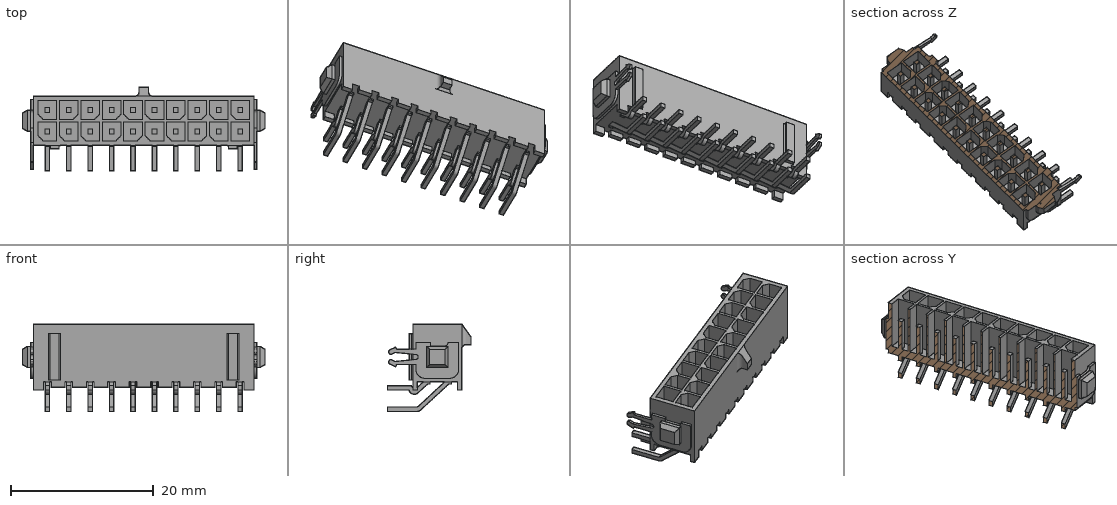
import cadquery as cq

OVERALL_LENGTH = 34.0
OVERALL_HEIGHT = 12.25

HOUSING_LENGTH = 30.9
HOUSING_DEPTH = 6.87
HOUSING_HEIGHT = 9.25
WALL_HEIGHT = 8.85
UNDERSIDE = 8.1
SKIRT_THICKNESS = 0.65
SLOT_WIDTH = 1.02

COLUMNS = 10
COLUMN_SPAN = 27.0
PITCH = COLUMN_SPAN / (COLUMNS - 1)
FRONT_ROW_Y = HOUSING_DEPTH / 2 - PITCH / 2
REAR_ROW_Y = HOUSING_DEPTH / 2 + PITCH / 2
CAVITY_SIZE = 2.62
CAVITY_CHAMFER = 0.7
CAVITY_DEPTH = 6.8
FRONT_ROW_KEYS = "LLLRRLLRL-"
REAR_ROW_KEYS = "LRRRLLRRLL"

PIN_SIZE = 0.65
PIN_RECESS = 2.38
PIN_REACH = 3.57
SHOULDER_WIDTH = 1.0
SHOULDER_DROP = 0.3
FRONT_TAIL_TOP = 8.6
REAR_TAIL_TOP = OVERALL_HEIGHT - PIN_SIZE

PEG_BASE = 3.0
PEG_TIP = 2.15
PEG_TAPER_LENGTH = 0.7
PEG_DEPTH = 4.6

CLIP_THICKNESS = 0.37
CLIP_FRONT_Y = 0.4
CLIP_REAR_Y = 6.43
CLIP_TOP = 2.55
CLIP_BOTTOM = 7.58
CLIP_CORNER_RADIUS = 1.3
NOTCH_FRONT_Y = 2.45
NOTCH_REAR_Y = 4.93
NOTCH_FLOOR = 3.05
NOTCH_RADIUS = NOTCH_FLOOR - CLIP_TOP
PRONG_ROOT = 1.1
PRONG_REACH = 3.4
SPLIT_HALF_WIDTH = 0.35

RIB_CENTRE_X = 12.48
RIB_BASE_WIDTH = 1.65
RIB_WIDTH = 1.25
RIB_TAPER = 0.17
RIB_PROJECTION = 0.5
RIB_TOP = 1.33
RIB_BOTTOM = 7.82

LATCH_WIDTH = 1.35
LATCH_PROJECTION = 1.3
LATCH_FLARE_RADIUS = 0.6
LATCH_RAMP_HEIGHT = 1.8
LATCH_BOTTOM = 2.9
LATCH_HEEL = 0.35


def box(x_limits, y_limits, z_limits):
    """Box between two limits, low then high, along each axis."""
    lows, highs = zip(x_limits, y_limits, z_limits)
    sizes = [high - low for low, high in zip(lows, highs)]
    return cq.Workplane("XY").box(*sizes, centered=False).translate(lows)


def centred(width, middle=0.0):
    """Limits of a width centred on a middle."""
    return middle - width / 2, middle + width / 2


def column_positions():
    return [-COLUMN_SPAN / 2 + column * PITCH for column in range(COLUMNS)]


def both_ends(left_feature):
    """The feature of the -X end with its mirror copy at the +X end."""
    return left_feature.union(left_feature.mirror("YZ"))


def make_housing():
    block = box(centred(HOUSING_LENGTH), (0, HOUSING_DEPTH), (-HOUSING_HEIGHT, 0))
    recess = box(
        centred(HOUSING_LENGTH),
        (SKIRT_THICKNESS, HOUSING_DEPTH - SKIRT_THICKNESS),
        (-HOUSING_HEIGHT, -UNDERSIDE),
    )
    wall_relief = box(centred(COLUMN_SPAN), (0, HOUSING_DEPTH), (-HOUSING_HEIGHT, -WALL_HEIGHT))
    housing = block.cut(recess).cut(wall_relief)
    for x in column_positions():
        slot = box(centred(SLOT_WIDTH, x), (0, HOUSING_DEPTH), (-HOUSING_HEIGHT, -UNDERSIDE))
        housing = housing.cut(slot)
    return housing


def make_cavity(x, y, key):
    cavity = box(centred(CAVITY_SIZE, x), centred(CAVITY_SIZE, y), (-CAVITY_DEPTH, 0))
    if key == "L":
        return cavity.edges("|Z and <X and <Y").chamfer(CAVITY_CHAMFER)
    if key == "R":
        return cavity.edges("|Z and >X and <Y").chamfer(CAVITY_CHAMFER)
    return cavity


def make_pin(x, row_y, tail):
    """Straight contact with its shoulder, joined to a bent tail drawn in the YZ plane."""
    contact = box(centred(PIN_SIZE, x), centred(PIN_SIZE, row_y), (-UNDERSIDE, -PIN_RECESS))
    shoulder = box(
        centred(PIN_SIZE, x),
        centred(SHOULDER_WIDTH, row_y),
        (-UNDERSIDE - SHOULDER_DROP, -CAVITY_DEPTH),
    )
    bent_tail = tail.extrude(PIN_SIZE / 2, both=True).translate((x, 0, 0))
    return contact.union(shoulder).union(bent_tail)


def front_tail():
    """Steep tail that dips below its exit height in a round bend."""
    tail_bottom = FRONT_TAIL_TOP + PIN_SIZE
    slope_lower_start = (2.07, -UNDERSIDE - SHOULDER_DROP)
    slope_upper_start = (1.43, -UNDERSIDE)
    outer_bend_start, outer_bend_middle, outer_bend_end = (0.6, -9.72), (0.2, -9.83), (-0.55, -tail_bottom)
    inner_bend_start, inner_bend_middle, inner_bend_end = (-0.2, -FRONT_TAIL_TOP), (0.2, -8.95), (0.55, -8.95)
    return (
        cq.Workplane("YZ")
        .moveTo(*slope_lower_start)
        .lineTo(*outer_bend_start)
        .threePointArc(outer_bend_middle, outer_bend_end)
        .lineTo(-PIN_REACH, -tail_bottom)
        .lineTo(-PIN_REACH, -FRONT_TAIL_TOP)
        .lineTo(*inner_bend_start)
        .threePointArc(inner_bend_middle, inner_bend_end)
        .lineTo(*slope_upper_start)
        .lineTo(slope_lower_start[0], -UNDERSIDE)
        .close()
    )


def rear_tail():
    """Long sloping tail with a small rounded bend at the bottom."""
    slope_lower_start = (5.03, -UNDERSIDE - SHOULDER_DROP)
    slope_upper_start = (4.42, -UNDERSIDE)
    outer_bend_start, outer_bend_middle, outer_bend_end = (1.15, -11.97), (0.9, -12.17), (0.6, -OVERALL_HEIGHT)
    inner_bend_start, inner_bend_end = (0.6, -REAR_TAIL_TOP), (0.9, -11.4)
    return (
        cq.Workplane("YZ")
        .moveTo(*slope_lower_start)
        .lineTo(*outer_bend_start)
        .threePointArc(outer_bend_middle, outer_bend_end)
        .lineTo(-PIN_REACH, -OVERALL_HEIGHT)
        .lineTo(-PIN_REACH, -REAR_TAIL_TOP)
        .lineTo(*inner_bend_start)
        .lineTo(*inner_bend_end)
        .lineTo(*slope_upper_start)
        .lineTo(slope_lower_start[0], -UNDERSIDE)
        .close()
    )


def make_peg():
    """Square peg with a tapered tip on the -X end."""
    base_end_x = -(OVERALL_LENGTH / 2 - PEG_TAPER_LENGTH)
    base = box(
        (base_end_x, -HOUSING_LENGTH / 2),
        centred(PEG_BASE, HOUSING_DEPTH / 2),
        centred(PEG_BASE, -PEG_DEPTH),
    )
    tip = (
        cq.Workplane("YZ", origin=(base_end_x, HOUSING_DEPTH / 2, -PEG_DEPTH))
        .rect(PEG_BASE, PEG_BASE)
        .workplane(offset=-PEG_TAPER_LENGTH)
        .rect(PEG_TIP, PEG_TIP)
        .loft(combine=True)
    )
    return base.union(tip)


def make_clip():
    """Flat clip on the -X end: plate notched above the peg, with two barbed prongs."""
    plane = cq.Workplane("YZ", origin=(-HOUSING_LENGTH / 2, 0, 0))
    plate = (
        plane.moveTo(CLIP_FRONT_Y, -CLIP_TOP)
        .lineTo(NOTCH_FRONT_Y, -CLIP_TOP)
        .lineTo(NOTCH_FRONT_Y, -NOTCH_FLOOR)
        .lineTo(NOTCH_REAR_Y - NOTCH_RADIUS, -NOTCH_FLOOR)
        .radiusArc((NOTCH_REAR_Y, -CLIP_TOP), -NOTCH_RADIUS)
        .lineTo(CLIP_REAR_Y, -CLIP_TOP)
        .lineTo(CLIP_REAR_Y, -CLIP_BOTTOM)
        .lineTo(CLIP_FRONT_Y, -CLIP_BOTTOM)
        .close()
        .extrude(-CLIP_THICKNESS)
        .edges("|X and <Z")
        .fillet(CLIP_CORNER_RADIUS)
    )
    split_end = (
        plane.center(CLIP_FRONT_Y, -PEG_DEPTH)
        .circle(SPLIT_HALF_WIDTH)
        .extrude(-CLIP_THICKNESS)
    )
    barb_heel = (-2.28, PRONG_ROOT)
    barb_peak = (-2.4, 1.4)
    tip_start, tip_middle, tip_end = (-3.13, 1.05), (-PRONG_REACH, 0.75), (-3.05, 0.35)
    inner_throat = (-2.48, 0.6)
    prong = (
        plane.center(0, -PEG_DEPTH)
        .moveTo(CLIP_FRONT_Y, SPLIT_HALF_WIDTH)
        .lineTo(CLIP_FRONT_Y, PRONG_ROOT)
        .lineTo(*barb_heel)
        .lineTo(*barb_peak)
        .lineTo(*tip_start)
        .threePointArc(tip_middle, tip_end)
        .lineTo(*inner_throat)
        .close()
        .extrude(-CLIP_THICKNESS)
    )
    lower_prong = prong.mirror("XY", (0, 0, -PEG_DEPTH))
    return plate.cut(split_end).union(prong).union(lower_prong)


def make_rib():
    """Upright rib on the board-side face near the -X end, flared at its base."""
    half_base = RIB_BASE_WIDTH / 2
    half_width = RIB_WIDTH / 2
    profile = [
        (-half_base, 0),
        (-half_width, -RIB_TAPER),
        (-half_width, -RIB_PROJECTION),
        (half_width, -RIB_PROJECTION),
        (half_width, -RIB_TAPER),
        (half_base, 0),
    ]
    plane = cq.Workplane("XY", origin=(-RIB_CENTRE_X, 0, -RIB_BOTTOM))
    return plane.polyline(profile).close().extrude(RIB_BOTTOM - RIB_TOP)


def make_latch():
    """Ramp on the face opposite the board: flared plan shape cut by a sloped side shape."""
    half_width = LATCH_WIDTH / 2
    radius = LATCH_FLARE_RADIUS
    half_base = half_width + radius
    height = LATCH_BOTTOM + LATCH_HEEL
    flared = (
        cq.Workplane("XY", origin=(0, HOUSING_DEPTH, -height))
        .moveTo(-half_base, 0)
        .radiusArc((-half_width, radius), -radius)
        .lineTo(-half_width, LATCH_PROJECTION)
        .lineTo(half_width, LATCH_PROJECTION)
        .lineTo(half_width, radius)
        .radiusArc((half_base, 0), -radius)
        .close()
        .extrude(height)
    )
    side_profile = [
        (0, 0),
        (LATCH_PROJECTION, -LATCH_RAMP_HEIGHT),
        (LATCH_PROJECTION, -LATCH_BOTTOM),
        (LATCH_HEEL, -LATCH_BOTTOM),
        (0, -height),
    ]
    side_plane = cq.Workplane("YZ", origin=(0, HOUSING_DEPTH, 0))
    return flared.intersect(side_plane.polyline(side_profile).close().extrude(half_base, both=True))


result = make_housing()
for row_y, keys, tail_shape in (
    (FRONT_ROW_Y, FRONT_ROW_KEYS, front_tail),
    (REAR_ROW_Y, REAR_ROW_KEYS, rear_tail),
):
    for column_x, corner in zip(column_positions(), keys):
        result = result.cut(make_cavity(column_x, row_y, corner))
        result = result.union(make_pin(column_x, row_y, tail_shape()))
for make_end_feature in (make_peg, make_clip, make_rib):
    result = result.union(both_ends(make_end_feature()))
result = result.union(make_latch())